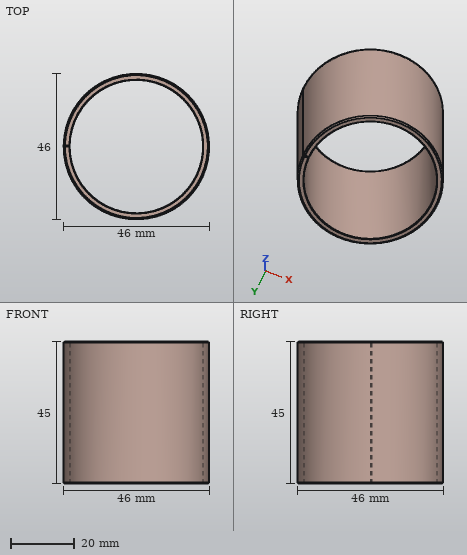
import cadquery as cq

outer_diameter = 46.0
wall_thickness = 2.0
length = 45.0
outer_chamfer = 0.5
inner_chamfer = 0.2
gap_angle = 1.0

outer_radius = outer_diameter / 2
inner_radius = outer_radius - wall_thickness
half_length = length / 2


def wall_section():
    """Chamfered wall profile in the XZ plane, on the -X side of the axis."""
    return (
        cq.Workplane("XZ")
        .moveTo(-inner_radius, half_length - inner_chamfer)
        .lineTo(-inner_radius - inner_chamfer, half_length)
        .lineTo(-outer_radius + outer_chamfer, half_length)
        .lineTo(-outer_radius, half_length - outer_chamfer)
        .lineTo(-outer_radius, -half_length + outer_chamfer)
        .lineTo(-outer_radius + outer_chamfer, -half_length)
        .lineTo(-inner_radius - inner_chamfer, -half_length)
        .lineTo(-inner_radius, -half_length + inner_chamfer)
        .close()
    )


def split_sleeve():
    """Sweep the wall counter-clockwise from Y = 0, so the gap lies just on the +Y side."""
    return wall_section().revolve(360 - gap_angle, (0, 0, 0), (0, 1, 0))


result = split_sleeve()